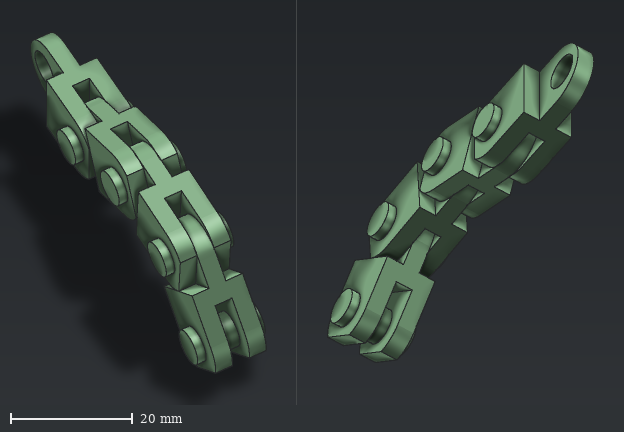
import cadquery as cq
import math

link_height = 12.7
link_width = 9.5
pitch = 15.85
pin_diameter = 6.3
pin_length = 12.7
eye_tip_offset = 4.75
fork_tip_offset = 4.75

end_radius = link_height / 2
tongue_thickness = link_width / 3
shoulder_x = end_radius
slot_start_x = pitch - end_radius
fork_tip_x = pitch + fork_tip_offset
fork_tip_half_height = math.sqrt(end_radius**2 - fork_tip_offset**2)

link_angles = [0, 22.1, -3.6, -48.3]


def centred_extrusion(profile, width):
    """Extrude an XZ profile symmetrically about the chain's middle plane."""
    return profile.extrude(width).translate((0, width / 2, 0))


def make_tongue():
    """Thin eye plate with a full round end, reaching the slot of the fork."""
    round_center_x = end_radius - eye_tip_offset
    profile = (
        cq.Workplane("XZ")
        .moveTo(slot_start_x, end_radius)
        .lineTo(round_center_x, end_radius)
        .threePointArc((-eye_tip_offset, 0), (round_center_x, -end_radius))
        .lineTo(slot_start_x, -end_radius)
        .close()
    )
    return centred_extrusion(profile, tongue_thickness)


def make_fork():
    """Full-width block with rounded corners, slotted for the next tongue."""
    arc_angle = (math.pi / 2 + math.atan2(fork_tip_half_height, fork_tip_offset)) / 2
    arc_middle_x = pitch + end_radius * math.cos(arc_angle)
    arc_middle_z = end_radius * math.sin(arc_angle)
    profile = (
        cq.Workplane("XZ")
        .moveTo(shoulder_x, -end_radius)
        .lineTo(pitch, -end_radius)
        .threePointArc((arc_middle_x, -arc_middle_z), (fork_tip_x, -fork_tip_half_height))
        .lineTo(fork_tip_x, fork_tip_half_height)
        .threePointArc((arc_middle_x, arc_middle_z), (pitch, end_radius))
        .lineTo(shoulder_x, end_radius)
        .close()
    )
    slot_length = fork_tip_x - slot_start_x
    slot = cq.Workplane("XY").box(slot_length, tongue_thickness, link_height)
    slot = slot.translate((slot_start_x + slot_length / 2, 0, 0))
    return centred_extrusion(profile, link_width).cut(slot)


def make_link():
    """Tongue and fork as one solid, with its eye hole at the origin."""
    hole_profile = cq.Workplane("XZ").pushPoints([(0, 0), (pitch, 0)]).circle(pin_diameter / 2)
    return make_tongue().union(make_fork()).cut(centred_extrusion(hole_profile, link_width))


def make_pin():
    """Plain round pin along Y, centred on the origin."""
    return centred_extrusion(cq.Workplane("XZ").circle(pin_diameter / 2), pin_length)


links = []
pins = []
joint_x = 0
joint_z = 0
for angle in link_angles:
    link = make_link().rotate((0, 0, 0), (0, 1, 0), -angle)
    links.append(link.translate((joint_x, 0, joint_z)).val())
    joint_x += pitch * math.cos(math.radians(angle))
    joint_z += pitch * math.sin(math.radians(angle))
    pins.append(make_pin().translate((joint_x, 0, joint_z)).val())

result = cq.Compound.makeCompound([*links, *pins])